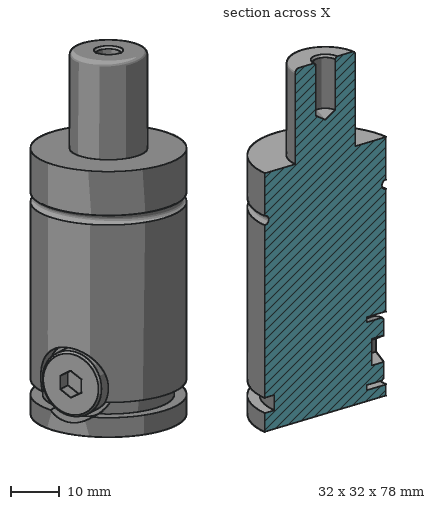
import cadquery as cq
import math

total_height = 78.0
body_diameter = 32.0
body_radius = body_diameter / 2
body_height = 57.0

rod_diameter = body_diameter / 2
rod_edge_radius = 1.0
rod_hole_diameter = 5.0
rod_hole_mouth_diameter = 6.0
rod_hole_depth = 11.7
drill_point_angle = 118.0

base_groove_bottom = 4.2
base_groove_top = 7.5
base_groove_radius = 13.5
upper_groove_height = 46.6
upper_groove_radius = 1.0

plug_height = 10.5
plug_diameter = 14.0
plug_face_offset = 15.4
plug_chamfer = 0.5
pocket_diameter = 16.0
pocket_floor_offset = 10.9
socket_across_flats = 5.0
socket_depth = 3.1


def cylinder_from_axis(diameter, start, end):
    """Cylinder toward -Y, at plug height, between two distances from the body axis."""
    plane = cq.Plane(origin=(0, -start, plug_height), xDir=(1, 0, 0), normal=(0, -1, 0))
    return cq.Workplane(plane).circle(diameter / 2).extrude(end - start)


def make_body():
    body = cq.Workplane("XY").circle(body_radius).extrude(body_height)
    base_groove = (
        cq.Workplane("XY")
        .workplane(offset=base_groove_bottom)
        .circle(body_radius)
        .circle(base_groove_radius)
        .extrude(base_groove_top - base_groove_bottom)
    )
    upper_groove = cq.Workplane(
        cq.Solid.makeTorus(body_radius, upper_groove_radius, cq.Vector(0, 0, upper_groove_height))
    )
    return body.cut(base_groove).cut(upper_groove)


def make_rod():
    return (
        cq.Workplane("XY")
        .workplane(offset=body_height)
        .circle(rod_diameter / 2)
        .extrude(total_height - body_height)
        .faces(">Z")
        .edges()
        .fillet(rod_edge_radius)
    )


def make_rod_hole():
    """Drilled hole with a 45 degree countersunk mouth and a conical bottom."""
    hole_radius = rod_hole_diameter / 2
    mouth_radius = rod_hole_mouth_diameter / 2
    mouth_depth = mouth_radius - hole_radius
    hole_bottom = total_height - rod_hole_depth
    point_depth = hole_radius / math.tan(math.radians(drill_point_angle / 2))
    return (
        cq.Workplane("XZ")
        .moveTo(0, total_height)
        .lineTo(mouth_radius, total_height)
        .lineTo(hole_radius, total_height - mouth_depth)
        .lineTo(hole_radius, hole_bottom)
        .lineTo(0, hole_bottom - point_depth)
        .close()
        .revolve(360, (0, 0, 0), (0, 1, 0))
    )


def make_plug():
    """Chamfered plug with a hexagon socket whose corners point up and down."""
    plug = cylinder_from_axis(plug_diameter, pocket_floor_offset, plug_face_offset)
    plug = plug.faces("<Y").edges().chamfer(plug_chamfer)
    socket_across_corners = socket_across_flats / math.cos(math.pi / 6)
    socket_plane = cq.Plane(
        origin=(0, -plug_face_offset, plug_height), xDir=(0, 0, 1), normal=(0, -1, 0)
    )
    socket = cq.Workplane(socket_plane).polygon(6, socket_across_corners).extrude(-socket_depth)
    return plug.cut(socket)


pocket = cylinder_from_axis(pocket_diameter, pocket_floor_offset, body_radius)
result = make_body().union(make_rod()).cut(make_rod_hole()).cut(pocket).union(make_plug())